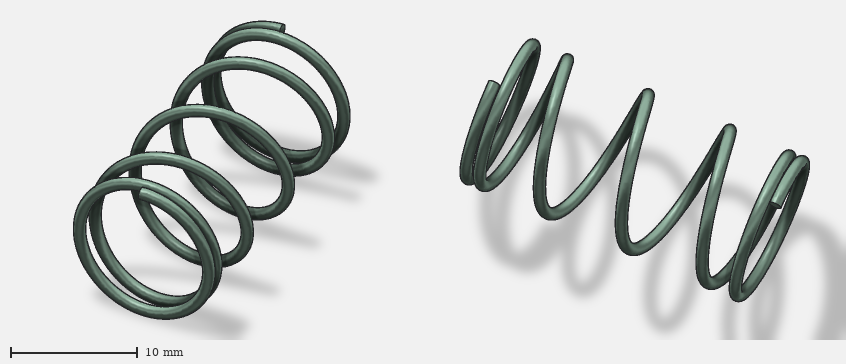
import cadquery as cq
import math

free_length = 25.4
outer_diameter = 12.7
wire_diameter = 1.0
closed_pitch = 1.02
closed_turns = 1
transition_turns = 1
open_turns = 2
points_per_turn = 24

coil_radius = (outer_diameter - wire_diameter) / 2
half_rise = (free_length - wire_diameter) / 2
half_turns = open_turns / 2 + transition_turns + closed_turns

open_pitch = (
    half_rise - closed_turns * closed_pitch - transition_turns * closed_pitch / 2
) / (open_turns / 2 + transition_turns / 2)


def axial_position(turn):
    """Y of the wire centre, with turns counted from the middle of the spring."""
    distance = abs(turn)
    open_part = min(distance, open_turns / 2)
    transition_part = min(max(distance - open_turns / 2, 0), transition_turns)
    closed_part = max(distance - open_turns / 2 - transition_turns, 0)
    pitch_drop = (open_pitch - closed_pitch) / transition_turns
    rise = (
        open_pitch * (open_part + transition_part)
        - pitch_drop * transition_part**2 / 2
        + closed_pitch * closed_part
    )
    return math.copysign(rise, turn)


def coil_point(turn):
    """Wire centre; every whole turn lies at the top (+Z) of the coil."""
    angle = 2 * math.pi * turn
    return cq.Vector(
        coil_radius * math.sin(angle),
        axial_position(turn),
        coil_radius * math.cos(angle),
    )


step_count = round(2 * half_turns * points_per_turn)
centreline_points = [
    coil_point(step / points_per_turn - half_turns) for step in range(step_count + 1)
]
centreline = cq.Workplane("XY").spline(centreline_points)

result = (
    cq.Workplane("YZ")
    .center(-half_rise, coil_radius)
    .circle(wire_diameter / 2)
    .sweep(centreline, isFrenet=True)
)